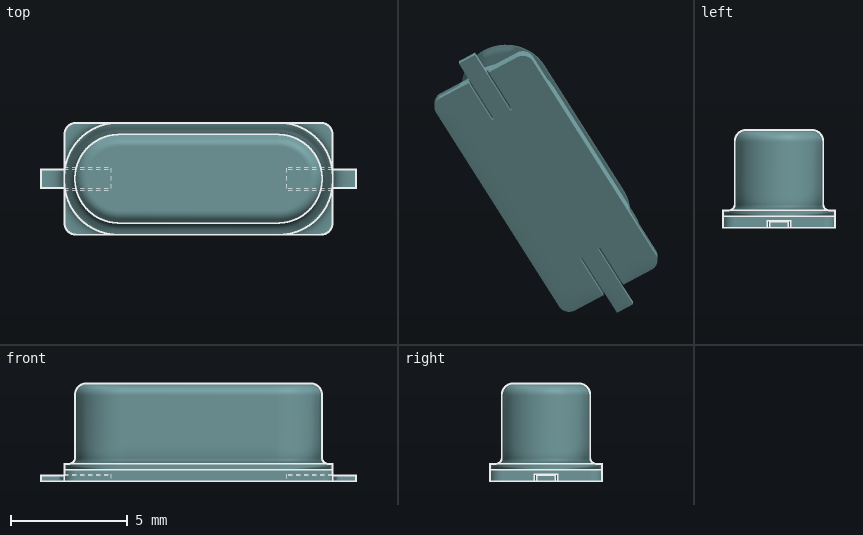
import cadquery as cq

BASE_LENGTH = 11.5
BASE_WIDTH = 4.8
BASE_HEIGHT = 0.5
BASE_CORNER_RADIUS = 0.5

TOTAL_HEIGHT = 4.2
RIM_THICKNESS = 0.25
RIM_CORNER_RADIUS = 2.3
COVER_LENGTH = 10.6
COVER_WIDTH = 3.8
COVER_TOP_RADIUS = 0.5
COVER_FOOT_RADIUS = 0.25

LEAD_SPAN = 13.5
LEAD_WIDTH = 0.8
LEAD_THICKNESS = 0.25
GROOVE_SIDE_GAP = 0.1
GROOVE_TOP_GAP = 0.05
GROOVE_DEPTH = 2.0

RIM_TOP = BASE_HEIGHT + RIM_THICKNESS
GROOVE_WIDTH = LEAD_WIDTH + 2 * GROOVE_SIDE_GAP
GROOVE_HEIGHT = LEAD_THICKNESS + GROOVE_TOP_GAP
GROOVE_INNER_X = BASE_LENGTH / 2 - GROOVE_DEPTH
ENDS = (-1, 1)


def end_strip(side, outer_x, width, height):
    """Flat strip on the ground plane, from the groove's inner end out to outer_x."""
    length = outer_x - GROOVE_INNER_X
    middle_x = side * (outer_x + GROOVE_INNER_X) / 2
    return (
        cq.Workplane("XY")
        .center(middle_x, 0)
        .rect(length, width)
        .extrude(height)
    )


def make_base():
    """Rounded plate with a lead groove at each end."""
    plate = (
        cq.Workplane("XY")
        .rect(BASE_LENGTH, BASE_WIDTH)
        .extrude(BASE_HEIGHT)
        .edges("|Z")
        .fillet(BASE_CORNER_RADIUS)
    )
    for side in ENDS:
        plate = plate.cut(end_strip(side, BASE_LENGTH / 2, GROOVE_WIDTH, GROOVE_HEIGHT))
    return plate


def make_can():
    """Rim and cover in one piece, with a rounded top edge and a fillet at the foot."""
    rim = (
        cq.Workplane("XY", origin=(0, 0, BASE_HEIGHT))
        .rect(BASE_LENGTH, BASE_WIDTH)
        .extrude(RIM_THICKNESS)
        .edges("|Z")
        .fillet(RIM_CORNER_RADIUS)
    )
    cover = (
        cq.Workplane("XY", origin=(0, 0, RIM_TOP))
        .slot2D(COVER_LENGTH, COVER_WIDTH)
        .extrude(TOTAL_HEIGHT - RIM_TOP)
        .faces(">Z")
        .edges()
        .fillet(COVER_TOP_RADIUS)
    )
    can = rim.union(cover)

    rim_top_face = can.faces("|Z").faces(cq.selectors.CenterNthSelector(cq.Vector(0, 0, 1), 1))
    foot_edges = rim_top_face.wires().item(1).edges()
    return foot_edges.fillet(COVER_FOOT_RADIUS)


def make_lead(side):
    """Strip lead whose inner end meets the end wall of its groove."""
    return end_strip(side, LEAD_SPAN / 2, LEAD_WIDTH, LEAD_THICKNESS)


base = make_base()
can = make_can()
leads = [make_lead(side) for side in ENDS]

result = cq.Compound.makeCompound([base.val(), can.val(), *[lead.val() for lead in leads]])